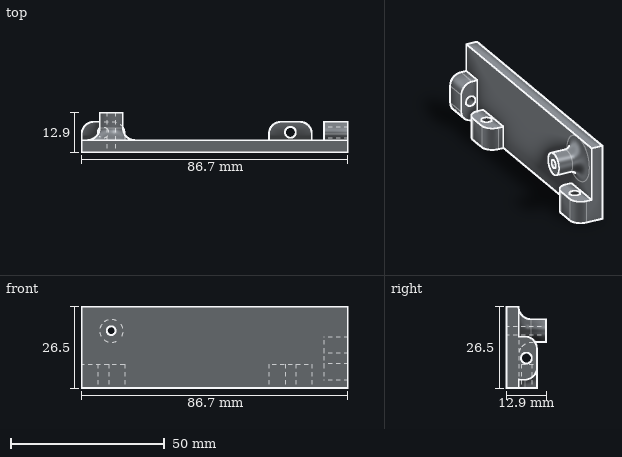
import cadquery as cq
import math

plate_length = 86.7
plate_height = 26.5
plate_thickness = 4.0

post_diameter = 7.5
post_bore = 2.8
post_end_y = 12.9
post_x = 9.6
post_z = 18.7
post_flare_radius = 4.0

lug_width = 14.05
lug_thickness = 7.8
lug_end_y = 10.0
lug_corner_radius = 4.0
lug_hole_diameter = 3.5
lug_hole_y = 6.5
bottom_lug_centers_x = (lug_width / 2, 68.0)
side_lug_center_z = 9.8


def make_plate():
    return cq.Workplane("XY").box(plate_length, plate_thickness, plate_height, centered=False)


def make_post():
    """Revolve the post with its concave flare about its own axis, along Y."""
    radius = post_diameter / 2
    flare_end_y = plate_thickness + post_flare_radius
    arc_offset = post_flare_radius * (1 - math.sqrt(0.5))
    profile = (
        cq.Workplane("XY")
        .moveTo(0, 0)
        .lineTo(radius + post_flare_radius, 0)
        .lineTo(radius + post_flare_radius, plate_thickness)
        .threePointArc((radius + arc_offset, plate_thickness + arc_offset), (radius, flare_end_y))
        .lineTo(radius, post_end_y)
        .lineTo(0, post_end_y)
        .close()
    )
    post = profile.revolve(360, (0, 0, 0), (0, 1, 0)).translate((post_x, 0, post_z))
    envelope = cq.Workplane("XY").box(plate_length, post_end_y, plate_height, centered=False)
    return post.intersect(envelope)


def make_lug():
    """Lug centred on X = 0, rising along Y, with its thickness along Z from 0."""
    lug = (
        cq.Workplane("XY")
        .center(0, lug_end_y / 2)
        .rect(lug_width, lug_end_y)
        .extrude(lug_thickness)
        .edges("|Z and >Y")
        .fillet(lug_corner_radius)
    )
    hole = cq.Workplane("XY").center(0, lug_hole_y).circle(lug_hole_diameter / 2).extrude(lug_thickness)
    return lug.cut(hole)


result = make_plate().union(make_post())

for center_x in bottom_lug_centers_x:
    result = result.union(make_lug().translate((center_x, 0, 0)))

side_lug = make_lug().rotate((0, 0, 0), (0, 1, 0), 90)
side_lug_x = plate_length - lug_thickness
result = result.union(side_lug.translate((side_lug_x, 0, side_lug_center_z)))

bore = (
    cq.Workplane("XZ")
    .center(post_x, post_z)
    .circle(post_bore / 2)
    .extrude(-post_end_y)
)
result = result.cut(bore)